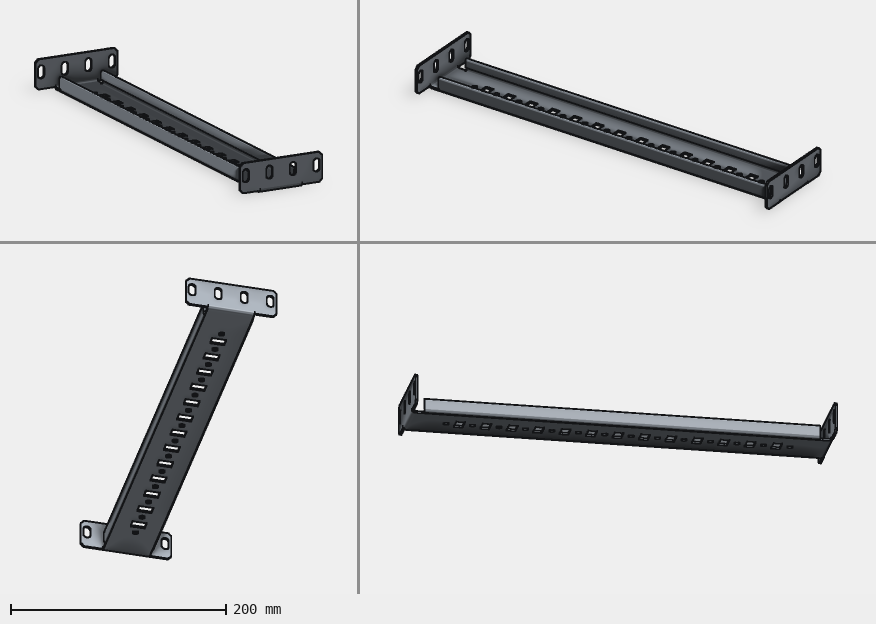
import cadquery as cq

length = 398.5
plate_width = 87.0
height = 31.0

sheet = 2.0
bend_radius = 2 * sheet
inner_radius = bend_radius - sheet

rail_length = 373.8
neck_width = 44.5
flange_overhang = 1.67
rail_width = neck_width + 2 * flange_overhang
rail_height = 14.7
hem_radius = sheet
hem_leaf_bottom = 6.0

row_span = 324.8
round_hole_count = 14
pitch = row_span / (round_hole_count - 1)
round_hole_diameter = 5.0
window_count = round_hole_count - 1
window_length = 8.5
window_width = 13.5

plate_bottom = sheet
plate_corner_chamfer = 3.0
slot_count = 4
slot_width = 6.8
slot_height = 12.8
slot_drop = 12.5


def make_rail():
    """Channel whose upright flanges are folded inward and back down along their tops."""
    trough_height = rail_height - hem_radius

    def trough(width, bottom, corner_radius):
        return (
            cq.Workplane("XY", origin=(0, 0, bottom))
            .box(rail_length, width, trough_height - bottom, centered=(True, True, False))
            .edges("|X and <Z")
            .fillet(corner_radius)
        )

    rail = trough(rail_width, 0, bend_radius).cut(
        trough(rail_width - 2 * sheet, sheet, inner_radius)
    )
    hem = make_hem(trough_height)
    return rail.union(hem).union(hem.mirror("XZ"))


def make_hem(fold_height):
    """Closed fold on the +Y flange: a half-round top and a leaf lying against the flange."""
    flange_outside = rail_width / 2
    fold_center = flange_outside - hem_radius
    leaf_face = fold_center - hem_radius
    return (
        cq.Workplane("YZ", origin=(-rail_length / 2, 0, 0))
        .moveTo(flange_outside, fold_height)
        .threePointArc((fold_center, fold_height + hem_radius), (leaf_face, fold_height))
        .lineTo(leaf_face, hem_leaf_bottom)
        .lineTo(flange_outside, hem_leaf_bottom)
        .close()
        .extrude(rail_length)
    )


def make_neck():
    """Floor strip running the full length and bent up at both ends."""
    outer = (
        cq.Workplane("XY")
        .box(length, neck_width, height, centered=(True, True, False))
        .edges("|Y and <Z")
        .fillet(bend_radius)
    )
    inner = (
        cq.Workplane("XY")
        .box(length - 2 * sheet, neck_width, height, centered=(True, True, False))
        .edges("|Y and <Z")
        .fillet(inner_radius)
        .translate((0, 0, sheet))
    )
    return outer.cut(inner)


def make_end_plates():
    """Two upright plates with chamfered corners, wider than the rail."""
    plate_height = height - plate_bottom
    blank = (
        cq.Workplane("XY")
        .box(length, plate_width, plate_height, centered=(True, True, False))
        .edges("|X")
        .chamfer(plate_corner_chamfer)
        .translate((0, 0, plate_bottom))
    )
    gap = cq.Workplane("XY").box(length - 2 * sheet, plate_width, 2 * height)
    bend_zone = cq.Workplane("XY").box(
        length, neck_width, bend_radius, centered=(True, True, False)
    )
    return blank.cut(gap).cut(bend_zone)


def make_floor_holes():
    """Round holes alternating with rectangular windows along the rail."""
    round_holes = (
        cq.Workplane("XY")
        .rarray(pitch, 4, round_hole_count, 1)
        .circle(round_hole_diameter / 2)
        .extrude(sheet)
    )
    windows = (
        cq.Workplane("XY")
        .rarray(pitch, 4, window_count, 1)
        .rect(window_length, window_width)
        .extrude(sheet)
    )
    return round_holes.union(windows)


def make_plate_slots():
    """Upright mounting slots passing through both end plates."""
    return (
        cq.Workplane("YZ", origin=(0, 0, height - slot_drop))
        .rarray(pitch, 4, slot_count, 1)
        .slot2D(slot_height, slot_width, 90)
        .extrude(length / 2, both=True)
    )


body = make_rail().union(make_neck()).union(make_end_plates())
result = body.cut(make_floor_holes()).cut(make_plate_slots())